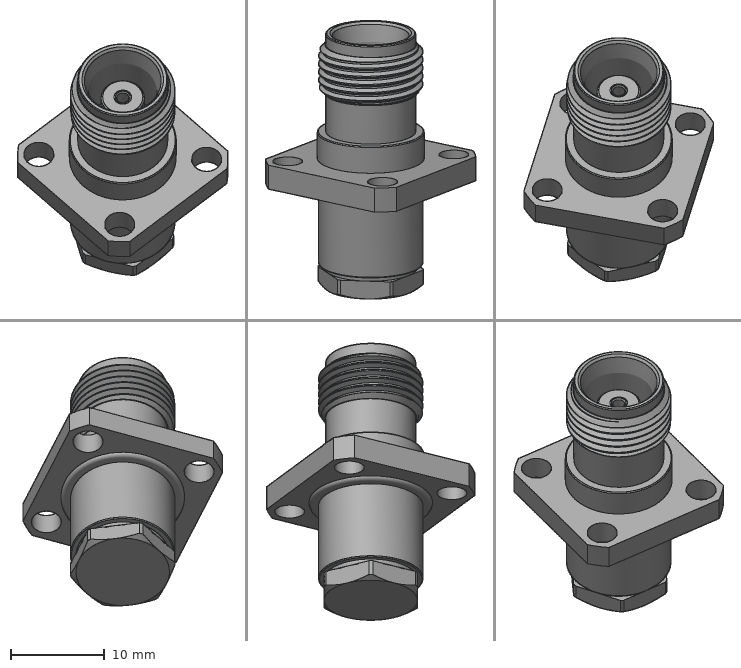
import cadquery as cq
import math


TOTAL_HEIGHT = 28.2
HEX_TOP = 2.0
BODY_BOTTOM = 2.5
FLANGE_BOTTOM = 11.6
FLANGE_TOP = 14.27
COLLAR_TOP = 17.26
THREAD_BOTTOM = 21.58
THREAD_TOP = 26.95

TUBE_DIAMETER = 9.65
COLLAR_DIAMETER = 11.45
BODY_DIAMETER = 11.2
STEP_DIAMETER = 13.23
STEP_HEIGHT = 0.45
STEP_FILLET = 0.42
EDGE_CHAMFER = 0.1

HEX_ACROSS_FLATS = 10.0
HEX_CORNER_DIAMETER = 11.3
HEX_CHAMFER_ANGLE = math.radians(30)

FLANGE_WIDTH = 17.5
FLANGE_CORNER_DIAMETER = 22.5
MOUNTING_HOLE_SPACING = 12.7
MOUNTING_HOLE_DIAMETER = 3.2

THREAD_DIAMETER = 11.17
THREAD_ROOT_DIAMETER = 10.18
THREAD_PITCH = 0.9
THREAD_ROOT_FLAT = 0.2
THREAD_FLANK_ANGLE = math.radians(30)
THREAD_END_DIAMETER = 9.82
THREAD_GROOVE_START = 21.07
THREAD_GROOVE_TURNS = 7
CUTTER_OVERSIZE = 0.05

MOUTH_DIAMETER = 8.72
MOUTH_CHAMFER = 0.25
BORE_DIAMETER = 7.3
TAPER_DEPTH = 2.12
BORE_DEPTH = 8.18

BOSS_DIAMETER = 4.63
BOSS_TOP = 25.05
BOSS_CHAMFER = 0.17

CONTACT_DIAMETER = 1.85
CONTACT_BOTTOM = FLANGE_BOTTOM
SOCKET_DIAMETER = 1.3
SOCKET_DEPTH = 5.0
SOCKET_CHAMFER = 0.15


def cylinder(diameter, bottom, top):
    """Cylinder on the connector axis between two heights."""
    return cq.Workplane("XY").workplane(offset=bottom).circle(diameter / 2).extrude(top - bottom)


def revolved(points):
    """Solid of revolution about Z from (radius, height) points."""
    return cq.Workplane("XZ").polyline(points).close().revolve(360, (0, 0, 0), (0, 1, 0))


def make_hex_end():
    """Hexagon with turned corners and a conical chamfer underneath."""
    across_corners = HEX_ACROSS_FLATS / math.cos(math.pi / 6)
    hexagon = cq.Workplane("XY").polygon(6, across_corners).extrude(HEX_TOP)
    hexagon = hexagon.rotate((0, 0, 0), (0, 0, 1), 30)
    flat_radius = HEX_ACROSS_FLATS / 2
    corner_radius = HEX_CORNER_DIAMETER / 2
    chamfer_height = (corner_radius - flat_radius) * math.tan(HEX_CHAMFER_ANGLE)
    envelope = revolved([
        (0, 0),
        (flat_radius, 0),
        (corner_radius, chamfer_height),
        (corner_radius, HEX_TOP),
        (0, HEX_TOP),
    ])
    neck = cylinder(HEX_ACROSS_FLATS, HEX_TOP, BODY_BOTTOM)
    return hexagon.intersect(envelope).union(neck)


def make_clamp_body():
    """Lower cylinder and the rounded step against the flange."""
    body = cylinder(BODY_DIAMETER, BODY_BOTTOM, FLANGE_BOTTOM).faces("<Z").chamfer(EDGE_CHAMFER)
    step = cylinder(STEP_DIAMETER, FLANGE_BOTTOM - STEP_HEIGHT, FLANGE_BOTTOM)
    return body.union(step.faces("<Z").edges().fillet(STEP_FILLET))


def make_flange():
    """Square plate with turned corners and four mounting holes."""
    thickness = FLANGE_TOP - FLANGE_BOTTOM
    plate = cq.Workplane("XY").workplane(offset=FLANGE_BOTTOM).rect(FLANGE_WIDTH, FLANGE_WIDTH)
    plate = plate.extrude(thickness)
    plate = plate.intersect(cylinder(FLANGE_CORNER_DIAMETER, FLANGE_BOTTOM, FLANGE_TOP))
    return (
        plate.faces(">Z")
        .workplane(origin=(0, 0, FLANGE_TOP))
        .rect(MOUNTING_HOLE_SPACING, MOUNTING_HOLE_SPACING, forConstruction=True)
        .vertices()
        .hole(MOUNTING_HOLE_DIAMETER)
    )


def make_thread():
    """Threaded sleeve with 45 degree ends and one helical groove, cut turn by turn."""
    crest_radius = THREAD_DIAMETER / 2
    root_radius = THREAD_ROOT_DIAMETER / 2
    end_radius = THREAD_END_DIAMETER / 2
    end_chamfer = crest_radius - end_radius
    sleeve = revolved([
        (0, THREAD_BOTTOM),
        (end_radius, THREAD_BOTTOM),
        (crest_radius, THREAD_BOTTOM + end_chamfer),
        (crest_radius, THREAD_TOP - end_chamfer),
        (end_radius, THREAD_TOP),
        (0, THREAD_TOP),
    ])
    cutter_radius = crest_radius + CUTTER_OVERSIZE
    root_half = THREAD_ROOT_FLAT / 2
    mouth_half = root_half + (cutter_radius - root_radius) * math.tan(THREAD_FLANK_ANGLE)
    one_turn = cq.Wire.makeHelix(THREAD_PITCH, THREAD_PITCH, root_radius)
    groove_turn = (
        cq.Workplane("XZ")
        .moveTo(root_radius, -root_half)
        .lineTo(cutter_radius, -mouth_half)
        .lineTo(cutter_radius, mouth_half)
        .lineTo(root_radius, root_half)
        .close()
        .sweep(cq.Workplane("XY").add(one_turn), isFrenet=True)
    )
    for turn in range(THREAD_GROOVE_TURNS):
        height = THREAD_GROOVE_START + turn * THREAD_PITCH
        sleeve = sleeve.cut(groove_turn.translate((0, 0, height)))
    return sleeve


def make_jack():
    """Collar and tube above the flange, with the thread around the tube."""
    collar = cylinder(COLLAR_DIAMETER, FLANGE_TOP, COLLAR_TOP).faces(">Z").chamfer(EDGE_CHAMFER)
    tube = cylinder(TUBE_DIAMETER, FLANGE_TOP, TOTAL_HEIGHT).faces(">Z").chamfer(EDGE_CHAMFER)
    return collar.union(tube).union(make_thread())


def make_bore():
    """Mating bore: chamfered mouth, taper, then a straight part to the floor."""
    mouth_radius = MOUTH_DIAMETER / 2
    bore_radius = BORE_DIAMETER / 2
    floor = TOTAL_HEIGHT - BORE_DEPTH
    return revolved([
        (0, floor),
        (bore_radius, floor),
        (bore_radius, TOTAL_HEIGHT - TAPER_DEPTH),
        (mouth_radius - MOUTH_CHAMFER, TOTAL_HEIGHT - MOUTH_CHAMFER),
        (mouth_radius, TOTAL_HEIGHT),
        (0, TOTAL_HEIGHT),
    ])


def make_housing():
    """Complete connector shell with the seat for the contact."""
    shell = make_hex_end().union(make_clamp_body()).union(make_flange()).union(make_jack())
    boss = cylinder(BOSS_DIAMETER, TOTAL_HEIGHT - BORE_DEPTH, BOSS_TOP)
    boss = boss.faces(">Z").chamfer(BOSS_CHAMFER)
    contact_seat = cylinder(CONTACT_DIAMETER, CONTACT_BOTTOM, BOSS_TOP)
    return shell.cut(make_bore()).union(boss).cut(contact_seat)


def make_contact():
    """Socket contact flush with the top of the insulator boss."""
    contact = cylinder(CONTACT_DIAMETER, CONTACT_BOTTOM, BOSS_TOP)
    lead_in_diameter = SOCKET_DIAMETER + 2 * SOCKET_CHAMFER
    return (
        contact.faces(">Z")
        .workplane(origin=(0, 0, BOSS_TOP))
        .cskHole(SOCKET_DIAMETER, lead_in_diameter, cskAngle=90, depth=SOCKET_DEPTH)
    )


housing = make_housing()
contact = make_contact()

result = cq.Compound.makeCompound([housing.val(), contact.val()])